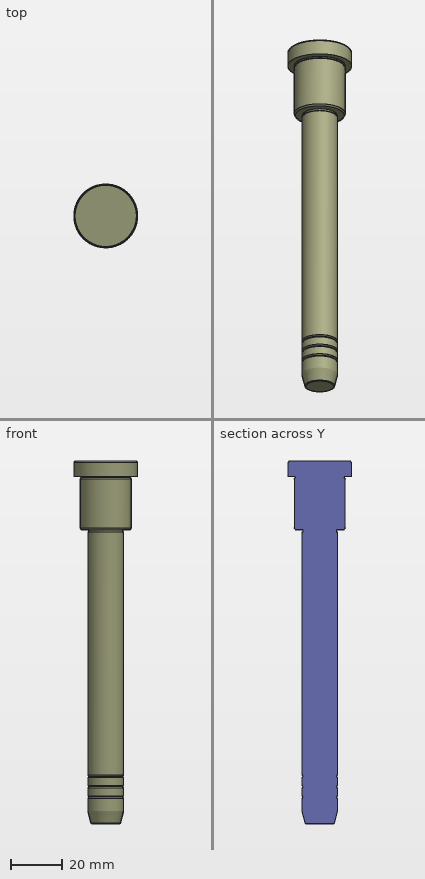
import cadquery as cq

total_length = 142.0
head_height = 6.1
collar_length = 20.9
taper_height = 5.0

head_diameter = 25.0
collar_diameter = 20.0
shaft_diameter = 14.0
tip_diameter = 11.5

head_chamfer = 0.5
collar_chamfer_height = 0.7
collar_chamfer_depth = 0.4
tip_chamfer = 0.3

ring_groove_width = 1.0
vee_depth = 0.4
shaft_relief_depth = 0.3
relief_width = 0.9
lowest_ring_center = 10.5
ring_count = 3
ring_span = 8.1
ring_pitch = ring_span / (ring_count - 1)

head_bottom = total_length - head_height
collar_bottom = head_bottom - collar_length


def cylinder(diameter, bottom, height):
    return cq.Workplane("XY").workplane(offset=bottom).circle(diameter / 2).extrude(height)


def relief_cutter(diameter, bottom, width):
    """Ring that cuts a square relief into a cylinder of the given diameter."""
    outer = cylinder(diameter, bottom, width)
    core = cylinder(diameter - 2 * shaft_relief_depth, bottom, width)
    return outer.cut(core)


def vee_cutter(diameter, center, width):
    """Ring that cuts a V-shaped groove into a cylinder of the given diameter."""
    radius = diameter / 2
    profile = [
        (radius, center - width / 2),
        (radius - vee_depth, center),
        (radius, center + width / 2),
    ]
    return cq.Workplane("XZ").polyline(profile).close().revolve(360, (0, 0), (0, 1))


def edge_break_cutter(diameter, bottom, height, depth):
    """Ring that bevels the lower edge of a cylinder, taller than it is deep."""
    radius = diameter / 2
    profile = [(radius - depth, bottom), (radius, bottom), (radius, bottom + height)]
    return cq.Workplane("XZ").polyline(profile).close().revolve(360, (0, 0), (0, 1))


head = cylinder(head_diameter, head_bottom, head_height).faces(">Z").edges().chamfer(head_chamfer)
collar = cylinder(collar_diameter, collar_bottom, collar_length)
collar = collar.cut(
    edge_break_cutter(collar_diameter, collar_bottom, collar_chamfer_height, collar_chamfer_depth)
)
collar = collar.cut(vee_cutter(collar_diameter, head_bottom - relief_width / 2, relief_width))

shaft = cylinder(shaft_diameter, taper_height, collar_bottom - taper_height)
tip = (
    cq.Workplane("XY")
    .circle(tip_diameter / 2)
    .workplane(offset=taper_height)
    .circle(shaft_diameter / 2)
    .loft(ruled=True)
    .faces("<Z")
    .edges()
    .chamfer(tip_chamfer)
)

shaft = shaft.cut(relief_cutter(shaft_diameter, collar_bottom - relief_width, relief_width))
for index in range(ring_count):
    ring_center = lowest_ring_center + index * ring_pitch
    shaft = shaft.cut(vee_cutter(shaft_diameter, ring_center, ring_groove_width))

result = head.union(collar).union(shaft).union(tip)